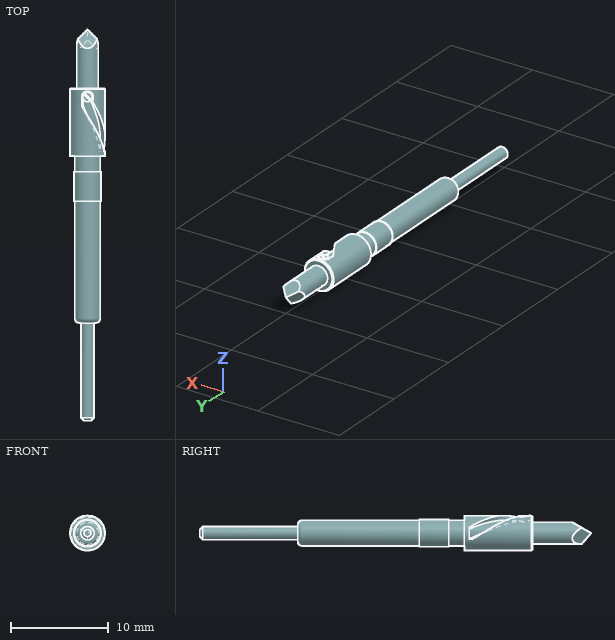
import cadquery as cq
import math

total_length = 40.0
collar_front = 6.0
collar_back = 12.95
band_front = 14.55
band_back = 17.55
barrel_back = 30.0

plunger_radius = 1.1
collar_radius = 1.8
barrel_radius = 1.3
band_radius = 1.4
tail_radius = 0.7

collar_chamfer = 0.1
barrel_fillet = 0.5
tail_chamfer = 0.3

tip_sides = 3
tip_face_angle = 30.0

groove_width = 1.2
groove_start = 6.9
groove_end = 12.5
helix_station = 7.7
helix_lead = 18.4
helix_end_angle = 110.0

pin_radius = 0.5
pin_top = 1.75
pin_slot_width = 0.15
pin_slot_depth = 0.1
pin_slot_angle = -45.0

tip_y = total_length / 2

clearance = 0.4


def section(radius, front, back):
    """Cylinder along Y between two stations behind the tip."""
    plane = cq.Workplane("XZ", origin=(0, tip_y - front, 0))
    return plane.circle(radius).extrude(back - front)


def radial_cylinder(radius, station, bottom, top):
    """Upright cylinder on the +Z side of the axis."""
    plane = cq.Workplane("XY", origin=(0, tip_y - station, bottom))
    return plane.circle(radius).extrude(top - bottom)


def turn(shape, angle):
    """Turn about the part axis; positive angles go from +Z towards +X."""
    return shape.rotate((0, 0, 0), (0, 1, 0), angle)


def make_plunger():
    """Round plunger ground to a three-sided point, one flat facing +Z."""
    plunger = section(plunger_radius, 0, collar_front)
    reach = plunger_radius + clearance
    ground_length = reach / math.tan(math.radians(tip_face_angle))
    plane = cq.Plane(origin=(0, tip_y, 0), xDir=(0, -1, 0), normal=(-1, 0, 0))
    waste_profile = [(0, 0), (ground_length, reach), (0, reach)]
    waste = cq.Workplane(plane).polyline(waste_profile).close().extrude(reach, both=True)
    for side in range(tip_sides):
        plunger = plunger.cut(turn(waste, side * 360 / tip_sides))
    return plunger


def cut_groove(collar):
    """Cut the bayonet groove from +Z round towards +X; the barrel later fills its floor."""
    inner = barrel_radius - clearance
    outer = collar_radius + clearance
    depth = outer - inner
    middle_radius = inner + depth / 2
    half_width = groove_width / 2
    start = radial_cylinder(half_width, groove_start, inner, outer)

    start_angle = -math.degrees(math.asin(half_width / collar_radius))
    start_station = helix_station + helix_lead * start_angle / 360
    run = helix_lead * (helix_end_angle - start_angle) / 360
    helix_angle = math.atan(helix_lead / (2 * math.pi * collar_radius))
    axial_width = groove_width / math.cos(helix_angle)

    path = cq.Wire.makeHelix(helix_lead, run, collar_radius, lefthand=True)
    profile = cq.Workplane("XZ").center(middle_radius, 0).rect(depth, axial_width)
    helix = profile.sweep(cq.Workplane(path), isFrenet=True)
    helix = helix.rotate((0, 0, 0), (1, 0, 0), 90)
    helix = turn(helix, start_angle - 90).translate((0, tip_y - start_station, 0))

    helix = helix.intersect(section(outer + clearance, groove_start, groove_end))
    return collar.cut(start).cut(helix)


def make_collar():
    """Collar with a chamfered front rim and the bayonet groove."""
    collar = section(collar_radius, collar_front, collar_back)
    return cut_groove(collar.faces(">Y").chamfer(collar_chamfer))


def make_pin():
    """Slotted guide pin rising from the start of the groove."""
    pin = radial_cylinder(pin_radius, groove_start, barrel_radius - clearance, pin_top)
    slot = cq.Workplane("XY").box(2 * pin_radius, pin_slot_width, 2 * pin_slot_depth)
    slot = slot.rotate((0, 0, 0), (0, 0, 1), pin_slot_angle)
    return pin.cut(slot.translate((0, tip_y - groove_start, pin_top)))


def make_barrel():
    """Barrel with a raised press-fit band and a rounded rear shoulder."""
    barrel = section(barrel_radius, collar_front, barrel_back)
    barrel = barrel.faces("<Y").edges().fillet(barrel_fillet)
    return barrel.union(section(band_radius, band_front, band_back))


def make_tail():
    """Thin rear terminal with a chamfered end."""
    tail = section(tail_radius, barrel_back, total_length)
    return tail.faces("<Y").chamfer(tail_chamfer)


result = make_collar()
for piece in (make_barrel(), make_plunger(), make_tail(), make_pin()):
    result = result.union(piece)